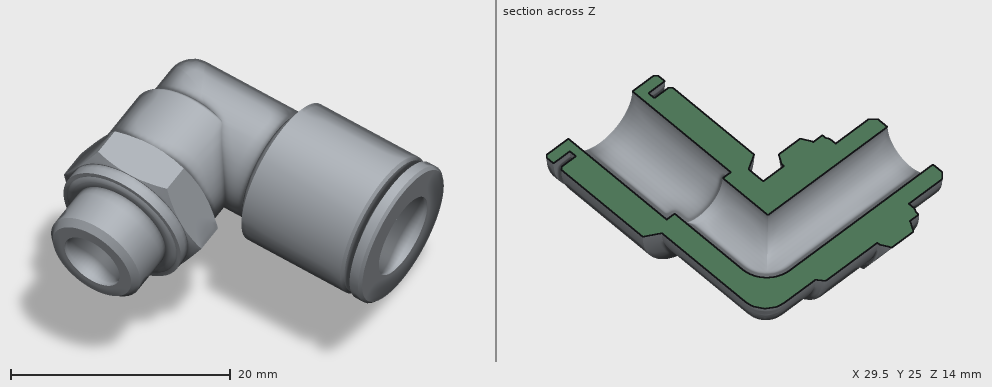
import cadquery as cq
import math


ELBOW_RADIUS = 10.9 / 2
OUTER_CORNER_FILLET = 2.5
BORE_RADIUS = 6.0 / 2
SELECTION_MARGIN = 0.01

SLEEVE_RADIUS = 14.0 / 2
SLEEVE_START = 9.0
SLEEVE_END = 20.05
SLEEVE_CHAMFER = 0.27
ENTRY_CONE_ANGLE = 60.0
NECK_RADIUS = 9.9 / 2
RELEASE_FLANGE_START = 20.8
BRANCH_END = 22.0
TUBE_SOCKET_RADIUS = 8.0 / 2

COLLAR_RADIUS = 12.4 / 2
COLLAR_TOP = 0.95
COLLAR_BEVEL_BOTTOM = 1.33
COLLAR_BEVEL_RADIUS = 5.93
COLLAR_ROUND_BOTTOM = 1.7
HEX_TOP = 8.0
HEX_BOTTOM = 11.9
HEX_ACROSS_FLATS = 13.0
HEX_CHAMFER_ANGLE = 30.0
SEAT_RADIUS = 12.8 / 2
SEAT_BOTTOM = 13.05
LIP_BOTTOM = 13.25
LIP_RADIUS = 5.96
LIP_FLAT_RADIUS = 10.9 / 2
THREAD_RADIUS = 9.73 / 2
THREAD_CHAMFER = 0.6
STEM_END = 18.0


def revolve_about_y(profile):
    """Turn a closed XY profile a full revolution about the stem axis."""
    return profile.revolve(360, (0, 0, 0), (0, 1, 0))


def make_elbow():
    """Branch and stem cylinders meeting in a mitred corner with a rounded outer seam."""
    corner = cq.Workplane("YZ").circle(ELBOW_RADIUS).extrude(-ELBOW_RADIUS)
    corner = corner.intersect(cq.Workplane("XZ").circle(ELBOW_RADIUS).extrude(-ELBOW_RADIUS))
    around_outer_seam = cq.selectors.BoxSelector(
        (-ELBOW_RADIUS, SELECTION_MARGIN, -ELBOW_RADIUS),
        (-SELECTION_MARGIN, ELBOW_RADIUS, ELBOW_RADIUS),
    )
    corner = corner.edges(around_outer_seam).fillet(OUTER_CORNER_FILLET)

    branch = cq.Workplane("YZ").circle(ELBOW_RADIUS).extrude(SLEEVE_START)
    stem = cq.Workplane("XZ").circle(ELBOW_RADIUS).extrude(HEX_TOP)
    return branch.union(stem).union(corner)


def make_branch_sleeve():
    """Push-in sleeve with an entry cone, a neck groove and the release ring flange."""
    cone_length = (SLEEVE_RADIUS - ELBOW_RADIUS) / math.tan(math.radians(ENTRY_CONE_ANGLE))
    chamfered_radius = SLEEVE_RADIUS - SLEEVE_CHAMFER
    profile = (
        cq.Workplane("XY")
        .moveTo(SLEEVE_START - cone_length, 0)
        .lineTo(SLEEVE_START - cone_length, ELBOW_RADIUS)
        .lineTo(SLEEVE_START, SLEEVE_RADIUS)
        .lineTo(SLEEVE_END - SLEEVE_CHAMFER, SLEEVE_RADIUS)
        .lineTo(SLEEVE_END, chamfered_radius)
        .lineTo(SLEEVE_END, NECK_RADIUS)
        .lineTo(RELEASE_FLANGE_START, NECK_RADIUS)
        .lineTo(RELEASE_FLANGE_START, SLEEVE_RADIUS)
        .lineTo(BRANCH_END - SLEEVE_CHAMFER, SLEEVE_RADIUS)
        .lineTo(BRANCH_END, chamfered_radius)
        .lineTo(BRANCH_END, 0)
        .close()
    )
    return profile.revolve(360, (0, 0, 0), (1, 0, 0))


def make_collar():
    """Round collar above the hexagon, its upper rim bevelled and then rounded into the side."""
    profile = (
        cq.Workplane("XY")
        .moveTo(0, -HEX_TOP)
        .lineTo(COLLAR_RADIUS, -HEX_TOP)
        .lineTo(COLLAR_RADIUS, -COLLAR_ROUND_BOTTOM)
        .tangentArcPoint((COLLAR_BEVEL_RADIUS, -COLLAR_BEVEL_BOTTOM), relative=False)
        .lineTo(ELBOW_RADIUS, -COLLAR_TOP)
        .lineTo(0, -COLLAR_TOP)
        .close()
    )
    return revolve_about_y(profile)


def make_hexagon():
    """Wrench hexagon with corners on the X axis, chamfered at both ends."""
    corner_radius = HEX_ACROSS_FLATS / math.sqrt(3)
    flat_radius = HEX_ACROSS_FLATS / 2
    chamfer_drop = (corner_radius - flat_radius) * math.tan(math.radians(HEX_CHAMFER_ANGLE))
    hexagon = cq.Workplane("XZ", origin=(0, -HEX_TOP, 0)).polygon(6, 2 * corner_radius)
    hexagon = hexagon.extrude(HEX_BOTTOM - HEX_TOP)
    chamfer_envelope = (
        cq.Workplane("XY")
        .moveTo(0, -HEX_TOP)
        .lineTo(flat_radius, -HEX_TOP)
        .lineTo(corner_radius, -HEX_TOP - chamfer_drop)
        .lineTo(corner_radius, -HEX_BOTTOM + chamfer_drop)
        .lineTo(flat_radius, -HEX_BOTTOM)
        .lineTo(0, -HEX_BOTTOM)
        .close()
    )
    return hexagon.intersect(revolve_about_y(chamfer_envelope))


def make_threaded_end():
    """Sealing seat with a raised lip rounded at its outer edge, and the plain thread below it."""
    profile = (
        cq.Workplane("XY")
        .moveTo(0, -STEM_END)
        .lineTo(THREAD_RADIUS - THREAD_CHAMFER, -STEM_END)
        .lineTo(THREAD_RADIUS, -STEM_END + THREAD_CHAMFER)
        .lineTo(THREAD_RADIUS, -LIP_BOTTOM)
        .lineTo(LIP_FLAT_RADIUS, -LIP_BOTTOM)
        .tangentArcPoint((LIP_RADIUS, -SEAT_BOTTOM), relative=False)
        .lineTo(SEAT_RADIUS, -SEAT_BOTTOM)
        .lineTo(SEAT_RADIUS, -HEX_BOTTOM)
        .lineTo(0, -HEX_BOTTOM)
        .close()
    )
    return revolve_about_y(profile)


def make_bores():
    """Flow bores along both axes, joined by a spherical corner, and the tube socket."""
    branch_bore = cq.Workplane("YZ").circle(BORE_RADIUS).extrude(BRANCH_END)
    stem_bore = cq.Workplane("XZ").circle(BORE_RADIUS).extrude(STEM_END)
    tube_socket = cq.Workplane("YZ", origin=(SLEEVE_START, 0, 0)).circle(TUBE_SOCKET_RADIUS)
    tube_socket = tube_socket.extrude(BRANCH_END - SLEEVE_START)
    round_corner = cq.Workplane("XY").sphere(BORE_RADIUS)
    return branch_bore.union(stem_bore).union(round_corner).union(tube_socket)


body = make_elbow()
for feature in (make_branch_sleeve(), make_collar(), make_hexagon(), make_threaded_end()):
    body = body.union(feature)

result = body.cut(make_bores())